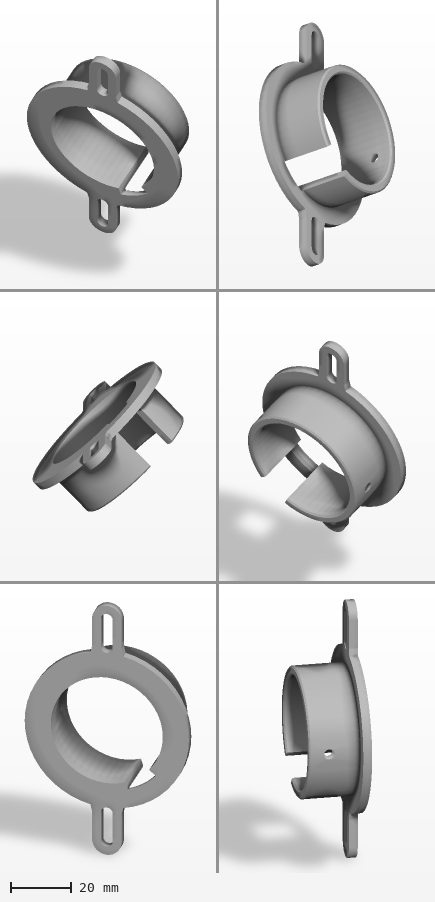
import cadquery as cq
import math

flange_radius = 28.2
flange_thickness = 3.0
overall_depth = 20.0
hub_radius = 22.2
bore_radius = 19.2
hub_chamfer = 0.5

overall_height = 90.7
tab_width = 10.1
slot_width = 4.1
slot_inner_center = 30.2
tab_root_width = 11.3
tab_end_center = overall_height / 2 - tab_width / 2
tab_root_z = math.sqrt(flange_radius**2 - (tab_root_width / 2) ** 2)

opening_start_angle = -71.8
opening_end_angle = -40.8
opening_chamfer = 1.0

thread_minor_diameter = 3.3
thread_major_diameter = 4.0
thread_pitch = 0.7
screw_hole_y = 13.2


def cylinder(radius, depth):
    """Cylinder from Y = 0 towards +Y."""
    return cq.Workplane("XZ").circle(radius).extrude(-depth)


def tab():
    """Upper tab with a rounded end and a root that widens into the flange."""
    half = tab_width / 2
    root_half = tab_root_width / 2
    return (
        cq.Workplane("XZ")
        .moveTo(-root_half, hub_radius)
        .lineTo(-root_half, tab_root_z)
        .lineTo(-half, slot_inner_center)
        .lineTo(-half, tab_end_center)
        .threePointArc((0, overall_height / 2), (half, tab_end_center))
        .lineTo(half, slot_inner_center)
        .lineTo(root_half, tab_root_z)
        .lineTo(root_half, hub_radius)
        .close()
        .extrude(-flange_thickness)
    )


def tab_slot():
    """Rounded slot through the upper tab."""
    center_distance = tab_end_center - slot_inner_center
    return (
        cq.Workplane("XZ")
        .center(0, (tab_end_center + slot_inner_center) / 2)
        .slot2D(center_distance + slot_width, slot_width, 90)
        .extrude(-flange_thickness)
    )


def hub_opening():
    """Sector with radial sides, flared by a chamfer at the rear edge of the flange."""
    flare_radius = hub_radius + opening_chamfer
    sector = (
        cq.Workplane("XY")
        .lineTo(hub_radius, 0)
        .lineTo(hub_radius, flange_thickness - opening_chamfer)
        .lineTo(flare_radius, flange_thickness)
        .lineTo(flare_radius, overall_depth)
        .lineTo(0, overall_depth)
        .close()
        .revolve(opening_end_angle - opening_start_angle, (0, 0, 0), (0, 1, 0))
    )
    return sector.rotate((0, 0, 0), (0, 1, 0), -opening_end_angle)


def screw_hole():
    """Radial hole through the -X side of the hub, with ring grooves standing for its thread."""
    minor_radius = thread_minor_diameter / 2
    major_radius = thread_major_diameter / 2
    groove_count = math.ceil((hub_radius - bore_radius) / thread_pitch)
    profile = cq.Workplane("XY").lineTo(0, minor_radius).lineTo(-bore_radius, minor_radius)
    for index in range(groove_count):
        groove_start = bore_radius + index * thread_pitch
        profile = profile.lineTo(-groove_start - thread_pitch / 2, major_radius)
        profile = profile.lineTo(-groove_start - thread_pitch, minor_radius)
    profile = profile.lineTo(-bore_radius - groove_count * thread_pitch, 0).close()
    return profile.revolve(360, (0, 0, 0), (1, 0, 0)).translate((0, screw_hole_y, 0))


body = cylinder(flange_radius, flange_thickness).union(cylinder(hub_radius, overall_depth))

for turn in (0, 180):
    body = body.union(tab().rotate((0, 0, 0), (0, 1, 0), turn))
    body = body.cut(tab_slot().rotate((0, 0, 0), (0, 1, 0), turn))

body = body.cut(cylinder(bore_radius, overall_depth))

body = body.faces(">Y").chamfer(hub_chamfer)
body = body.cut(hub_opening())
result = body.cut(screw_hole())